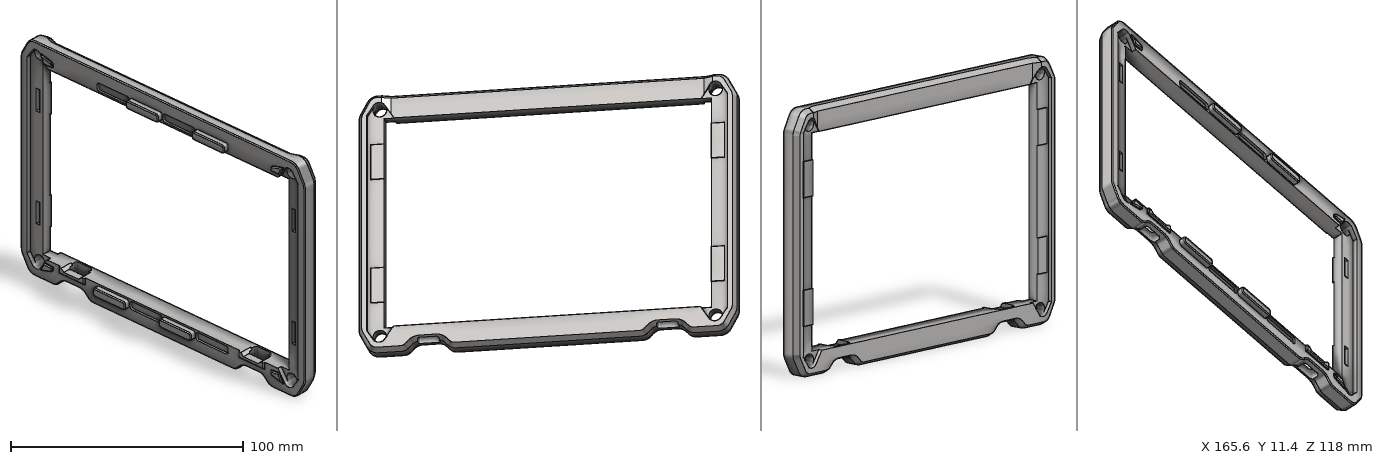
import cadquery as cq
import math

WIDTH = 165.6
HEIGHT = 118.0
THICKNESS = 8.6
WINDOW_WIDTH = 143.3
WINDOW_HEIGHT = 96.0

CORNER_CUT_X = 5.1
CORNER_CUT_Z = 9.5
CORNER_RADIUS = 5.3
SCALLOP_X = 52.3
SCALLOP_DEPTH = 4.3
SCALLOP_TOP_HALF = 5.6
SCALLOP_RADIUS = 4.6

FRONT_BEVEL = 0.5
BACK_BEVEL_DEPTH = 2.6
BACK_BEVEL_INSET = 1.7

HOLE_X = 73.5
HOLE_Z = 52.0
HOLE_RADIUS = 3.0
LIP_WIDTH = 3.8
RECESS_DIAGONAL = math.radians(34)
FRONT_RECESS_DEPTH = 2.2
BACK_RECESS_DEPTH = 1.8

TOP_CUT_HALF_LENGTH = 68.5
TOP_CUT_DEPTH = 1.5
TOP_CUT_FADE_LENGTH = 4.0
TOP_CUT_SLOPE_DEPTH = 2.8
TOP_CUT_SLOPE_DROP = 1.8

TAB_PITCH = 19.2
TAB_LENGTH = 18.7
TAB_WIDTH = 4.1
TAB_Z = 51.0
TAB_HEIGHT = 2.8
POCKET_DEPTH = 1.2
TAB_CORNER_RADIUS = 1.3
TAB_BEVEL = 0.5
TABS_PER_RAIL = 4

GROOVE_X = 74.5
GROOVE_Z = 28.3
GROOVE_LENGTH = 11.5
GROOVE_WIDTH = 2.2
GROOVE_DEPTH = 0.8
PAD_LENGTH = 15.9
PAD_HEIGHT = 0.7

RAISED_HEIGHT = 1.0
RAISED_BEVEL = 0.5

WEDGE_OUTLINE = [(70.7, 54.3), (64.5, 52.7), (63.6, 51.8), (63.6, 50.2), (68.5, 49.9)]

LOOP_BAR_LENGTH = 14.9
LOOP_BAR_DROP = 3.3
LOOP_SLOT_LENGTH = 9.6
LOOP_SLOT_FRONT = 2.6
LOOP_SLOT_BACK = 7.6
LOOP_SLOT_RADIUS = 1.3
LOOP_NOTCH_DEPTH = 1.5
LOOP_NOTCH_TOP = 11.6
LOOP_NOTCH_BOTTOM = 8.6

HALF_WIDTH = WIDTH / 2
HALF_HEIGHT = HEIGHT / 2
WINDOW_X = WINDOW_WIDTH / 2
WINDOW_Z = WINDOW_HEIGHT / 2
WALL_BACK = THICKNESS - BACK_BEVEL_DEPTH
SIDE_RAIL_BACK = THICKNESS - BACK_RECESS_DEPTH
TABS_MID_INDEX = (TABS_PER_RAIL - 1) / 2
CLEARANCE = 1.7
EVEN_BEVEL = 45
SIDES = (-1, 1)


def facing_front(y):
    """Workplane at depth y, local axes X and Z, extruding towards -Y."""
    return cq.Workplane("XZ", origin=(0, y, 0))


def block(x_size, y_front, y_back, z_size, x, z):
    return facing_front(y_back).center(x, z).rect(x_size, z_size).extrude(y_back - y_front)


def outline_prism():
    """Outer silhouette of the frame through its straight-walled thickness."""
    scallop_base_half = SCALLOP_TOP_HALF + SCALLOP_DEPTH
    scallop_top = -HALF_HEIGHT + SCALLOP_DEPTH
    scallops = []
    for x in (-SCALLOP_X, SCALLOP_X):
        scallops += [
            (x - scallop_base_half, -HALF_HEIGHT),
            (x - SCALLOP_TOP_HALF, scallop_top),
            (x + SCALLOP_TOP_HALF, scallop_top),
            (x + scallop_base_half, -HALF_HEIGHT),
        ]
    corner_x = HALF_WIDTH - CORNER_CUT_X
    corner_z = HALF_HEIGHT - CORNER_CUT_Z
    points = [(-HALF_WIDTH, -corner_z), (-corner_x, -HALF_HEIGHT)]
    points += scallops
    points += [
        (corner_x, -HALF_HEIGHT),
        (HALF_WIDTH, -corner_z),
        (HALF_WIDTH, corner_z),
        (corner_x, HALF_HEIGHT),
        (-corner_x, HALF_HEIGHT),
        (-HALF_WIDTH, corner_z),
    ]
    prism = facing_front(WALL_BACK).polyline(points).close().extrude(WALL_BACK - FRONT_BEVEL)
    scallop_edges = cq.selectors.BoxSelector(
        (-corner_x + CLEARANCE, 0, -HEIGHT), (corner_x - CLEARANCE, THICKNESS, 0)
    )
    prism = prism.edges("|Y").edges(scallop_edges).fillet(SCALLOP_RADIUS)
    for side in SIDES:
        corner_edges = cq.selectors.BoxSelector(
            (side * (corner_x - CLEARANCE), 0, -HEIGHT), (side * WIDTH, THICKNESS, HEIGHT)
        )
        prism = prism.edges("|Y").edges(corner_edges).fillet(CORNER_RADIUS)
    return prism


def frame_body():
    """Outline with a bevel on each face, opened by the rectangular window."""
    body = outline_prism()
    bevel_angle = math.degrees(math.atan2(BACK_BEVEL_INSET, BACK_BEVEL_DEPTH))
    front_bevel = body.faces("<Y").wires().toPending().workplane().extrude(
        FRONT_BEVEL, taper=EVEN_BEVEL, combine=False
    )
    back_bevel = body.faces(">Y").wires().toPending().workplane().extrude(
        BACK_BEVEL_DEPTH, taper=bevel_angle, combine=False
    )
    body = body.union(front_bevel).union(back_bevel)
    return body.cut(block(WINDOW_WIDTH, -CLEARANCE, THICKNESS + CLEARANCE, WINDOW_HEIGHT, 0, 0))


def side_recess(side, y_front, y_back):
    """Pocket over one side rail, ending in two lines tangent to each corner hole."""
    lip_x = HALF_WIDTH - LIP_WIDTH
    tangent_x = HOLE_RADIUS * math.cos(RECESS_DIAGONAL)
    tangent_z = HOLE_Z + HOLE_RADIUS * math.sin(RECESS_DIAGONAL)
    slope = math.tan(RECESS_DIAGONAL)
    lip_z = tangent_z - (lip_x - HOLE_X - tangent_x) / slope
    inner_x = HOLE_X - tangent_x - (tangent_z - WINDOW_Z) * slope
    upper = [
        (lip_x, lip_z),
        (HOLE_X + tangent_x, tangent_z),
        (HOLE_X - tangent_x, tangent_z),
        (inner_x, WINDOW_Z),
    ]
    lower = [(x, -z) for x, z in reversed(upper)]
    points = [(side * x, z) for x, z in upper + lower]
    return facing_front(y_back).polyline(points).close().extrude(y_back - y_front)


def corner_hole(x, z):
    length = THICKNESS + 2 * CLEARANCE
    return facing_front(THICKNESS + CLEARANCE).center(x, z).circle(HOLE_RADIUS).extrude(length)


def top_rail_profile(x, shift):
    """Section of the top rail cut at x, moved backwards by shift."""
    rail_back = THICKNESS - TOP_CUT_DEPTH + shift
    slope_front = rail_back - TOP_CUT_SLOPE_DEPTH
    back = THICKNESS + CLEARANCE
    return cq.Workplane("YZ", origin=(x, 0, 0)).polyline([
        (slope_front, HALF_HEIGHT),
        (rail_back, HALF_HEIGHT - TOP_CUT_SLOPE_DROP),
        (rail_back, WINDOW_Z),
        (back, WINDOW_Z),
        (back, HALF_HEIGHT),
    ]).close()


def top_rail_cut():
    """Thins the back of the top rail and slopes its outer edge, fading out at the corners."""
    cut = top_rail_profile(0, 0).extrude(TOP_CUT_HALF_LENGTH, both=True)
    for side in SIDES:
        start = top_rail_profile(side * TOP_CUT_HALF_LENGTH, 0).wires().val()
        end_x = side * (TOP_CUT_HALF_LENGTH + TOP_CUT_FADE_LENGTH)
        end = top_rail_profile(end_x, TOP_CUT_DEPTH).wires().val()
        cut = cut.union(cq.Workplane(cq.Solid.makeLoft([start, end], True)))
    return cut


def rounded_pad(x, z, y_base, height):
    return (
        facing_front(y_base).center(x, z).rect(TAB_LENGTH, TAB_WIDTH).extrude(height)
        .edges("|Y").fillet(TAB_CORNER_RADIUS)
    )


def tab(x, z):
    return rounded_pad(x, z, 0, TAB_HEIGHT).faces("<Y").chamfer(TAB_BEVEL)


def pocket(x, z):
    """Shallow cutter with the outline of a tab, bevelled at its mouth."""
    cavity = rounded_pad(x, z, POCKET_DEPTH, POCKET_DEPTH)
    mouth = cavity.faces("<Y").wires().toPending().workplane(offset=-TAB_BEVEL).extrude(
        TAB_BEVEL, taper=-EVEN_BEVEL, combine=False
    )
    return cavity.union(mouth)


def groove(x, z):
    """V-groove cutter with sloping ends, in the floor of a side recess."""
    mouth = FRONT_RECESS_DEPTH
    bottom = mouth + GROOVE_DEPTH
    section = [(x - GROOVE_WIDTH / 2, mouth), (x, bottom), (x + GROOVE_WIDTH / 2, mouth)]
    vee = (
        cq.Workplane("XY", origin=(0, 0, z)).polyline(section).close()
        .extrude(GROOVE_LENGTH / 2, both=True)
    )
    flat_half = GROOVE_LENGTH / 2 - GROOVE_DEPTH
    side_outline = [
        (mouth, z - GROOVE_LENGTH / 2),
        (bottom, z - flat_half),
        (bottom, z + flat_half),
        (mouth, z + GROOVE_LENGTH / 2),
    ]
    ends = (
        cq.Workplane("YZ", origin=(x, 0, 0)).polyline(side_outline).close()
        .extrude(GROOVE_WIDTH, both=True)
    )
    return vee.intersect(ends)


def groove_pad(side, z):
    """Thickening on the back of a side rail, flush with the window."""
    width = 2 * (GROOVE_X - WINDOW_X)
    return block(width, SIDE_RAIL_BACK, SIDE_RAIL_BACK + PAD_HEIGHT, PAD_LENGTH, side * GROOVE_X, z)


def corner_wedge(side_x, side_z):
    """Raised tapered nub beside a corner hole."""
    points = [(side_x * x, side_z * z) for x, z in WEDGE_OUTLINE]
    nub = facing_front(0).polyline(points).close().extrude(RAISED_HEIGHT)
    return nub.faces("<Y").chamfer(RAISED_BEVEL)


def loop_bar(x):
    """Raised bar in front of a strap slot."""
    z = -WINDOW_Z - LOOP_BAR_DROP / 2
    bar = block(LOOP_BAR_LENGTH, -RAISED_HEIGHT, 0, LOOP_BAR_DROP, x, z)
    return bar.faces("<Y").edges("not >Z").chamfer(RAISED_BEVEL)


def strap_slot(x):
    """Slot through the bottom rail, with a notch in the bar in front of it."""
    y_mid = (LOOP_SLOT_FRONT + LOOP_SLOT_BACK) / 2
    slot = (
        cq.Workplane("XY", origin=(x, y_mid, -HALF_HEIGHT))
        .rect(LOOP_SLOT_LENGTH, LOOP_SLOT_BACK - LOOP_SLOT_FRONT)
        .extrude(HALF_HEIGHT - WINDOW_Z).edges("|Z").fillet(LOOP_SLOT_RADIUS)
    )
    notch_points = [
        (x - LOOP_NOTCH_TOP / 2, -WINDOW_Z),
        (x - LOOP_NOTCH_BOTTOM / 2, -WINDOW_Z - LOOP_NOTCH_DEPTH),
        (x + LOOP_NOTCH_BOTTOM / 2, -WINDOW_Z - LOOP_NOTCH_DEPTH),
        (x + LOOP_NOTCH_TOP / 2, -WINDOW_Z),
    ]
    notch = facing_front(y_mid).polyline(notch_points).close().extrude(y_mid + RAISED_HEIGHT)
    return slot.union(notch)


result = frame_body().cut(top_rail_cut())
for side_x in SIDES:
    for side_z in SIDES:
        result = result.union(corner_wedge(side_x, side_z))
    result = result.cut(side_recess(side_x, -CLEARANCE, FRONT_RECESS_DEPTH))
    result = result.cut(side_recess(side_x, SIDE_RAIL_BACK, THICKNESS + CLEARANCE))
    for side_z in SIDES:
        result = result.union(groove_pad(side_x, side_z * GROOVE_Z))
        result = result.cut(groove(side_x * GROOVE_X, side_z * GROOVE_Z))
        result = result.cut(corner_hole(side_x * HOLE_X, side_z * HOLE_Z))
    result = result.union(loop_bar(side_x * SCALLOP_X)).cut(strap_slot(side_x * SCALLOP_X))

for index in range(TABS_PER_RAIL):
    tab_x = (index - TABS_MID_INDEX) * TAB_PITCH
    tab_side = 1 if index % 2 else -1
    result = result.union(tab(tab_x, tab_side * TAB_Z))
    result = result.cut(pocket(tab_x, -tab_side * TAB_Z))